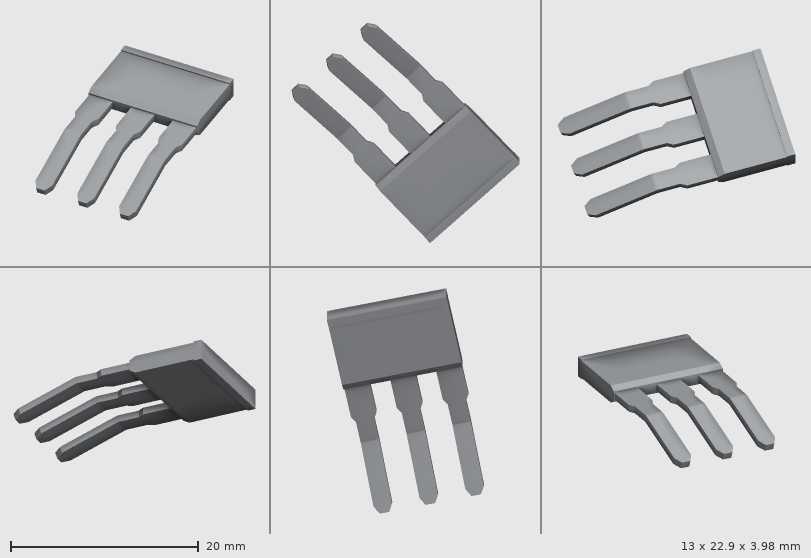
import cadquery as cq
import math

overall_length = 22.86

housing_width = 13.0
housing_length = 8.57
housing_height = 2.0
rim_height = 2.3
rim_length = 0.9
nose_height = 1.2
nose_bevel_length = 0.72

pin_count = 3
pin_pitch = 5.0
pin_thickness = 0.8
root_width = 2.8
blade_width = 2.0
tip_width = 1.0
root_length = 3.4
taper_angle = math.radians(30)
bend_distance = 6.52
bend_angle = math.radians(18)
bend_inner_radius = 0.2

bend_outer_radius = bend_inner_radius + pin_thickness
bend_start = housing_length + bend_distance
shoulder_start = housing_length + root_length
shoulder_end = shoulder_start + (root_width - blade_width) / 2 / math.tan(taper_angle)
tip_taper_length = (blade_width - tip_width) / 2 / math.tan(taper_angle)
sloped_run = overall_length - bend_start - bend_outer_radius * math.sin(bend_angle)
sloped_length = sloped_run / math.cos(bend_angle)
bend_center_z = -pin_thickness / 2 - bend_inner_radius


def make_housing():
    """Flat block with a raised back rim and a bevelled front, extruded across X."""
    rim = rim_height / 2
    face = housing_height / 2
    nose = nose_height / 2
    bevel_start = housing_length - nose_bevel_length
    upper = [
        (0, rim),
        (-rim_length, rim),
        (-rim_length, face),
        (-bevel_start, face),
        (-housing_length, nose),
    ]
    lower = [(y, -z) for y, z in reversed(upper)]
    return cq.Workplane("YZ").polyline(upper + lower).close().extrude(housing_width / 2, both=True)


def bend_point(radius, angle):
    """Point (Y, Z) on a bend arc, with the angle measured from the vertical start line."""
    return (-bend_start - radius * math.sin(angle), bend_center_z + radius * math.cos(angle))


def along_slope(point, distance):
    """Move a point (Y, Z) down the sloped end of the pin."""
    y, z = point
    return (y - distance * math.cos(bend_angle), z - distance * math.sin(bend_angle))


def make_straight_part(x):
    """Level part of a pin: wide root, tapered shoulder and narrow blade up to the bend."""
    root = root_width / 2
    blade = blade_width / 2
    right_side = [
        (root, -rim_length),
        (root, -shoulder_start),
        (blade, -shoulder_end),
        (blade, -bend_start),
    ]
    left_side = [(-px, py) for px, py in reversed(right_side)]
    plan = cq.Workplane("XY", origin=(x, 0, -pin_thickness / 2)).polyline(right_side + left_side)
    return plan.close().extrude(pin_thickness)


def make_bent_part(x):
    """Bend and sloped end of a pin, with both tip corners cut off."""
    outer_start = bend_point(bend_outer_radius, 0)
    outer_mid = bend_point(bend_outer_radius, bend_angle / 2)
    outer_end = bend_point(bend_outer_radius, bend_angle)
    inner_start = bend_point(bend_inner_radius, 0)
    inner_mid = bend_point(bend_inner_radius, bend_angle / 2)
    inner_end = bend_point(bend_inner_radius, bend_angle)
    strip = (
        cq.Workplane("YZ", origin=(x, 0, 0))
        .moveTo(*outer_start)
        .threePointArc(outer_mid, outer_end)
        .lineTo(*along_slope(outer_end, sloped_length))
        .lineTo(*along_slope(inner_end, sloped_length))
        .lineTo(*inner_end)
        .threePointArc(inner_mid, inner_start)
        .close()
        .extrude(blade_width / 2, both=True)
    )
    return cut_tip_corners(strip, x, along_slope(outer_end, sloped_length))


def cut_tip_corners(strip, x, tip_top):
    """Cut both corners of the tip square to the sloped top face."""
    slope_normal = (0, -math.sin(bend_angle), math.cos(bend_angle))
    tip_plane = cq.Plane(origin=(x, *tip_top), xDir=(1, 0, 0), normal=slope_normal)
    for side in (-1, 1):
        corner = [
            (side * tip_width / 2, 0),
            (side * blade_width / 2, 0),
            (side * blade_width / 2, tip_taper_length),
        ]
        wedge = cq.Workplane(tip_plane).polyline(corner).close().extrude(-pin_thickness)
        strip = strip.cut(wedge)
    return strip


result = make_housing()
for index in range(pin_count):
    pin_x = (index - (pin_count - 1) / 2) * pin_pitch
    result = result.union(make_straight_part(pin_x)).union(make_bent_part(pin_x))